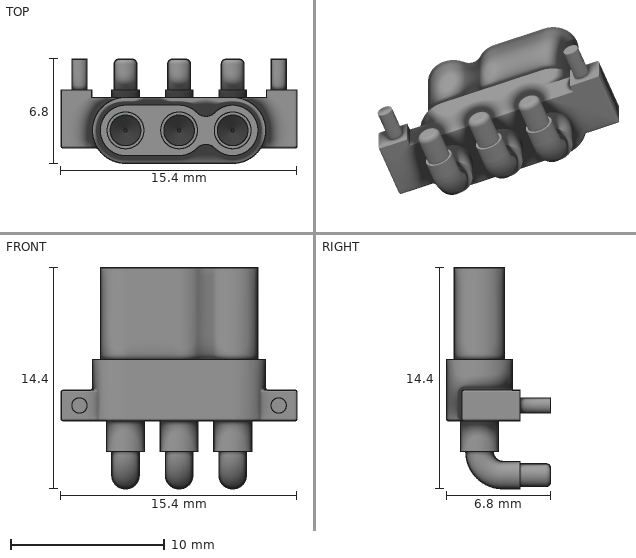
import cadquery as cq
import math

pitch = 3.5
contact_places = [-pitch, 0, pitch]

base_radius = 2.15
base_height = 4.0
tower_radius = 1.65
tower_height = 5.99
waist_radius = 0.8
ear_reach = 7.7
ear_width = 2.0
ear_height = 2.0
ear_front = -1.15
ear_back = 2.65
edge_radius = 0.15
top_z = base_height + tower_height

body_diameter = 2.4
body_recess = 0.62
body_top = top_z - body_recess
socket_diameter = 2.0
socket_depth = 6.0
socket_tip_diameter = 0.2
socket_tip_angle = 118
collar_diameter = 2.5
collar_length = 2.0
tube_diameter = 1.8
bend_radius = 1.54
tube_end = ear_back
tail_diameter = 1.5
tail_end = 4.65
tail_rounding = 0.32

pin_diameter = 1.0
pin_places = [-6.5, 6.5]


def tower_outline():
    """Straight-sided outline round the first two lobes, joined to the last one by a waist."""
    lobe_to_waist = tower_radius + waist_radius
    waist_y = math.sqrt(lobe_to_waist**2 - (pitch / 2) ** 2)
    tangent_x = pitch / 2 * tower_radius / lobe_to_waist
    tangent_y = waist_y * tower_radius / lobe_to_waist
    lobe_angle = math.atan2(tangent_x, tangent_y) / 2
    lobe_x = tower_radius * math.sin(lobe_angle)
    lobe_y = tower_radius * math.cos(lobe_angle)
    neck_y = waist_y - waist_radius
    return (
        cq.Workplane("XY", origin=(0, 0, base_height))
        .moveTo(-pitch, tower_radius)
        .lineTo(0, tower_radius)
        .threePointArc((lobe_x, lobe_y), (tangent_x, tangent_y))
        .threePointArc((pitch / 2, neck_y), (pitch - tangent_x, tangent_y))
        .threePointArc((pitch + tower_radius, 0), (pitch - tangent_x, -tangent_y))
        .threePointArc((pitch / 2, -neck_y), (tangent_x, -tangent_y))
        .threePointArc((lobe_x, -lobe_y), (0, -tower_radius))
        .lineTo(-pitch, -tower_radius)
        .threePointArc((-pitch - tower_radius, 0), (-pitch, tower_radius))
        .close()
    )


def is_rounded(edge):
    """Tell whether an edge of the base with its ear block is rounded: all but the top and back ones."""
    box = edge.BoundingBox()
    on_base_top = box.zmin > (ear_height + base_height) / 2
    on_back = box.ymin > (base_radius + ear_back) / 2
    return not (on_base_top or on_back)


def rounded_base():
    """Oblong base crossed by the block of the ears, with the corners between them rounded too."""
    base = cq.Workplane("XY").slot2D(2 * (pitch + base_radius), 2 * base_radius).extrude(base_height)
    ear_block = cq.Workplane("XY").box(
        2 * ear_reach, ear_back - ear_front, ear_height, centered=(True, False, False)
    )
    body = base.union(ear_block.translate((0, ear_front, 0)))
    edges = [edge for edge in body.edges().vals() if is_rounded(edge)]
    return body.newObject(edges).fillet(edge_radius)


def back_recess():
    """Space between the two ears behind the base, cutting the ear block back to the base's flat side."""
    recess = cq.Workplane("XY").box(
        2 * (ear_reach - ear_width), ear_back - base_radius, base_height, centered=(True, False, False)
    )
    return recess.translate((0, base_radius, 0))


def contact_bores():
    """Holes through the whole housing that the contact bodies fit in."""
    return (
        cq.Workplane("XY")
        .pushPoints([(x, 0) for x in contact_places])
        .circle(body_diameter / 2)
        .extrude(top_z)
    )


def make_housing():
    """Rounded base with ears and tower, bored for the contacts and the locating pins."""
    tower = tower_outline().extrude(tower_height)
    body = rounded_base().cut(back_recess()).union(tower).cut(contact_bores())
    for x in pin_places:
        body = body.cut(make_pin(x))
    return body


def contact_socket():
    """Blind hole in the contact's top, ending in a cone with a small flat tip."""
    tip_length = (socket_diameter - socket_tip_diameter) / 2 / math.tan(math.radians(socket_tip_angle / 2))
    floor_z = body_top - socket_depth
    return (
        cq.Workplane("XZ")
        .moveTo(0, body_top)
        .lineTo(socket_diameter / 2, body_top)
        .lineTo(socket_diameter / 2, floor_z)
        .lineTo(socket_tip_diameter / 2, floor_z - tip_length)
        .lineTo(0, floor_z - tip_length)
        .close()
        .revolve(360, (0, 0, 0), (0, 1, 0))
    )


def make_contact(x):
    """Socket contact: bored body, collar, quarter bend and reduced tail pointing to +Y."""
    tail_z = -collar_length - bend_radius
    body = cq.Workplane("XY").circle(body_diameter / 2).extrude(body_top)
    collar = cq.Workplane("XY").circle(collar_diameter / 2).extrude(-collar_length)
    bend = (
        cq.Workplane("XY", origin=(0, 0, -collar_length))
        .circle(tube_diameter / 2)
        .revolve(90, (-0.15, bend_radius, 0), (0.15, bend_radius, 0))
    )
    tube = (
        cq.Workplane("XZ", origin=(0, bend_radius, tail_z))
        .circle(tube_diameter / 2)
        .extrude(bend_radius - tube_end)
    )
    tail = (
        cq.Workplane("XZ", origin=(0, tube_end, tail_z))
        .circle(tail_diameter / 2)
        .extrude(tube_end - tail_end)
        .faces(">Y")
        .edges()
        .fillet(tail_rounding)
    )
    contact = body.union(collar).union(bend).union(tube).union(tail).cut(contact_socket())
    return contact.translate((x, 0, 0))


def make_pin(x):
    """Locating pin, flush with the front of its ear and standing out at the back."""
    return (
        cq.Workplane("XZ", origin=(x, ear_front, ear_height / 2))
        .circle(pin_diameter / 2)
        .extrude(ear_front - tail_end)
    )


housing = make_housing()
contacts = [make_contact(x) for x in contact_places]
pins = [make_pin(x) for x in pin_places]

result = cq.Compound.makeCompound(
    [
        housing.val(),
        *[contact.val() for contact in contacts],
        *[pin.val() for pin in pins],
    ]
)